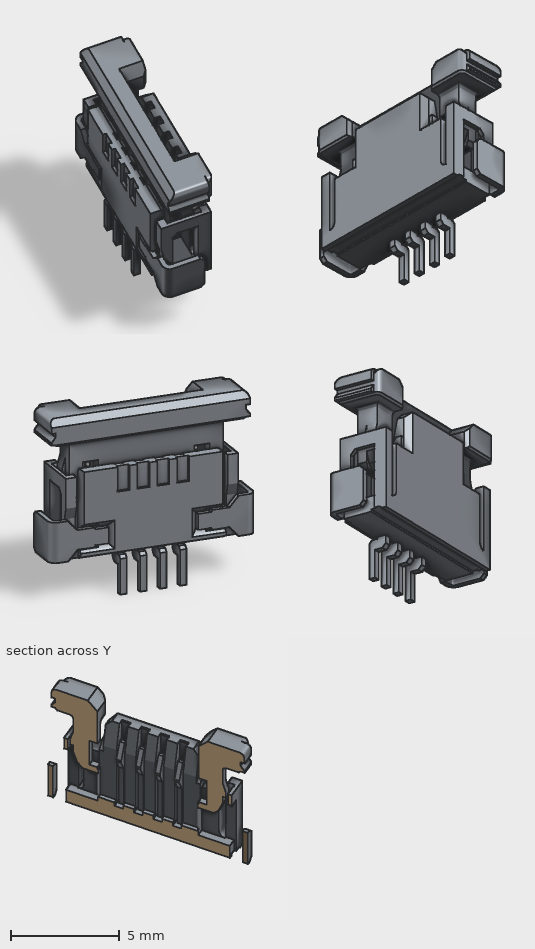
import cadquery as cq
import math

SIDES = (-1, 1)

total_width = 10.3
depth = 2.7
head_top = 6.89
tail_bottom = -2.01

contact_count = 4
pitch = 1.0
contact_width = 0.33
contact_slot_width = 0.43
contact_slot_floor = 0.82
contact_xs = [(i - (contact_count - 1) / 2) * pitch for i in range(contact_count)]

body_half = 3.48
body_top = 4.27
foot_half = 3.65
foot_top = 0.43
arm_inner = 3.79
arm_outer = 4.33
arm_top = 4.02
arm_front = 0.16
arm_lower_front = 0.31
arm_bevel_top = 2.54
window_back = 2.05
cavity_floor = 0.78
cavity_front = 0.74
cavity_back = 1.97
rear_wall_top = 3.5
arm_wall = 0.21
rear_foot_depth = 0.25
bottom_step = 0.11
wall_bevel = 0.21
wall_rear = 0.76
key_width = 0.61
key_bottom = 3.07
key_depth = 0.16

guide_half = 2.4
guide_top = 5.58
guide_bevel = 0.3
guide_front_top = 2.1
guide_front = 1.8
cable_slot_half = 2.54
cable_slot_floor = 1.03
shoulder_half = 2.6
shoulder_back = 2.39

slider_front = 0.82
slider_back = 1.91
plate_back = 1.41
plate_half = 3.86
post_bottom = 2.48
post_bevel_height = 0.28
post_bevel = 0.09
head_half = 4.99
head_front = 0.3
head_bottom = 5.58
head_base = 5.69
head_step = 2.31
head_back = 2.61
head_radius = 0.3
head_bevel = 0.33
groove_half = 4.78
neck_radius = 0.19
opening_half = 2.6
opening_top_half = 3.09
opening_bevel = 0.19
latch_half = 4.02
latch_front = 1.32
latch_bottom = 3.71

nail_thickness = 0.27
nail_height = 1.99
nail_back = 2.0
nail_corner = 0.21
nail_radius = 0.4
nail_tip = 2.24
nail_middle = nail_height / 2
nail_arm_half_height = 0.48
nail_tip_half_height = 0.39

recess_end = 1.94
recess_half_height = 0.7
recess_step = 2.71
recess_step_half_height = 0.56


def box(x0, x1, y0, y1, z0, z1):
    """Box between two corners, whichever order the limits come in."""
    size = (abs(x1 - x0), abs(y1 - y0), abs(z1 - z0))
    return cq.Workplane("XY").box(*size).translate(((x0 + x1) / 2, (y0 + y1) / 2, (z0 + z1) / 2))


def along_y(points, y0, y1):
    """Prism with an (x, z) outline, running from y0 to y1."""
    return cq.Workplane("XZ", origin=(0, y0, 0)).polyline(points).close().extrude(y0 - y1)


def along_x(points, x0, x1):
    """Prism with a (y, z) outline, running from x0 to x1."""
    return cq.Workplane("YZ", origin=(x0, 0, 0)).polyline(points).close().extrude(x1 - x0)


def along_z(points, z0, z1):
    """Prism with an (x, y) outline, running from z0 to z1."""
    return cq.Workplane("XY", origin=(0, 0, z0)).polyline(points).close().extrude(z1 - z0)


def side_arm(side):
    """Upright arm beside the body, hollowed for the slider post and open in a side window."""
    outline = [
        (arm_front, arm_top),
        (depth, arm_top),
        (depth, 0),
        (arm_lower_front, 0),
        (arm_lower_front, nail_height),
        (arm_front, arm_bevel_top),
    ]
    arm = along_x(outline, side * arm_inner, side * arm_outer)
    pocket_outer = arm_outer - arm_wall
    hollow_front = 0.58
    hollow = box(side * arm_inner, side * pocket_outer, hollow_front, window_back, cavity_floor, arm_top)
    arm = arm.cut(hollow)
    rear_lead = 0.25
    rear_bevel = [
        (window_back, arm_top),
        (window_back + rear_lead, arm_top),
        (window_back, arm_top - rear_lead),
    ]
    arm = arm.cut(along_x(rear_bevel, side * arm_inner, side * pocket_outer))
    window_top = 3.33
    window_bevel = 0.26
    window = box(side * pocket_outer, side * arm_outer, cavity_front, window_back, cavity_floor, window_top)
    window = window.edges("|X and <Y and >Z").chamfer(window_bevel)
    arm = arm.cut(window)
    relief_depth = 0.1
    relief_inner = arm_outer - relief_depth
    return arm.cut(box(side * relief_inner, side * arm_outer, arm_lower_front, window_back, 0, cavity_floor))


def arm_bridge(side):
    """Web that joins the arm to the body, rounded up into the body side."""
    radius = arm_inner - body_half
    bridge = box(side * body_half, side * arm_inner, arm_lower_front, depth, 0, cavity_floor + radius)
    round_cut = (
        cq.Workplane("XZ", origin=(side * arm_inner, 0, cavity_floor + radius)).circle(radius).extrude(-depth)
    )
    return bridge.cut(round_cut)


def guide_block():
    """Tall rear block with bevelled ends and a front that leans in to lead the cable."""
    lean_bottom = 4.17
    outline = [
        (depth, 0),
        (depth, guide_top),
        (guide_front_top, guide_top),
        (guide_front, lean_bottom),
        (guide_front, 0),
    ]
    block = along_x(outline, -guide_half, guide_half)
    for side in SIDES:
        end = side * guide_half
        inner = side * (guide_half - guide_bevel)
        rear_edge = [(end, depth), (inner, depth), (end, depth - guide_bevel)]
        block = block.cut(along_z(rear_edge, rear_wall_top, guide_top))
        top_edge = [(end, guide_top), (inner, guide_top), (end, guide_top - guide_bevel)]
        block = block.cut(along_y(top_edge, 0, depth))
    return block


def guide_shoulder():
    """Lower step at both ends of the guide block, with a leaning front."""
    lean_top_y = 2.09
    lean_bottom = 3.81
    outline = [
        (shoulder_back, 0),
        (shoulder_back, body_top),
        (lean_top_y, body_top),
        (guide_front, lean_bottom),
        (guide_front, 0),
    ]
    return along_x(outline, -shoulder_half, shoulder_half)


def rear_contact_slot(x):
    """Slot in the guide block that clears the contact spring, with a small bevel at the top."""
    slot_back = 2.34
    top_bevel = 0.05
    outline = [
        (plate_back, contact_slot_floor),
        (plate_back, guide_top),
        (slot_back + top_bevel, guide_top),
        (slot_back, guide_top - top_bevel),
        (slot_back, contact_slot_floor),
    ]
    return along_x(outline, x - contact_slot_width / 2, x + contact_slot_width / 2)


def front_contact_slot(x):
    """Notch for a contact at the top of the front wall, behind its outer face."""
    notch_front = 0.47
    left = x - contact_slot_width / 2
    right = x + contact_slot_width / 2
    return box(left, right, notch_front, slider_front, post_bottom + post_bevel_height, body_top)


def key_slot(x):
    """Slot in the outer face of the front wall, open at the top."""
    return box(x - key_width / 2, x + key_width / 2, 0, key_depth, key_bottom, body_top)


def post_cavity(side):
    """Space below the slider post, which lets the post travel down."""
    return box(side * opening_half, side * arm_inner, cavity_front, cavity_back, cavity_floor, body_top)


def underside_groove():
    """Shallow groove with a sloped rear flank across the underside, ahead of the rear foot."""
    groove_front = 1.8
    foot_front = depth - rear_foot_depth
    outline = [
        (groove_front, 0),
        (groove_front, bottom_step),
        (foot_front - bottom_step, bottom_step),
        (foot_front, 0),
    ]
    return along_x(outline, -arm_outer, arm_outer)


def front_relief():
    """Step along the lower front edge that clears the bends of the solder tails."""
    relief_depth = 0.25
    return box(-foot_half, foot_half, 0, relief_depth, 0, bottom_step)


def nail_recess(side):
    """Bevelled recess in the front face, wider where the broad part of the nail arm lies."""
    outer = side * foot_half

    def opening(end, half_height, y):
        corners = [(side * end, y, nail_middle - half_height), (outer, y, nail_middle - half_height)]
        corners += [(outer, y, nail_middle + half_height), (side * end, y, nail_middle + half_height)]
        return cq.Wire.makePolygon([cq.Vector(*c) for c in corners], close=True)

    mouth = opening(recess_end, recess_half_height, 0)
    floor = opening(nail_tip, nail_tip_half_height, nail_thickness)
    bevelled = cq.Workplane(cq.Solid.makeLoft([mouth, floor], True))
    broad_bottom = nail_middle - recess_step_half_height
    broad_top = nail_middle + recess_step_half_height
    return bevelled.union(box(side * recess_step, outer, 0, nail_thickness, broad_bottom, broad_top))


def make_housing():
    """Front wall, rear wall and guide block, flanked by the two side arms."""
    wall_outline = [
        (0, 0),
        (0, body_top),
        (wall_rear - wall_bevel, body_top),
        (wall_rear, body_top - wall_bevel),
        (slider_front, body_top - wall_bevel),
        (slider_front, 0),
    ]
    housing = along_x(wall_outline, -body_half, body_half)
    seat_top = post_bottom + post_bevel_height
    housing = housing.union(box(-body_half, body_half, slider_front, slider_back, 0, seat_top))
    housing = housing.union(box(-body_half, body_half, slider_back, depth, 0, rear_wall_top))
    housing = housing.union(box(-foot_half, foot_half, 0, depth, 0, foot_top))
    housing = housing.union(guide_shoulder()).union(guide_block())
    for side in SIDES:
        housing = housing.union(side_arm(side)).union(arm_bridge(side))
        housing = housing.cut(post_cavity(side)).cut(nail_recess(side))
    housing = housing.cut(underside_groove()).cut(front_relief())

    housing = housing.cut(
        box(-cable_slot_half, cable_slot_half, plate_back, guide_front, cable_slot_floor, guide_top)
    )
    for x in contact_xs:
        housing = housing.cut(rear_contact_slot(x)).cut(front_contact_slot(x)).cut(key_slot(x))
    return housing


def contact(x):
    """Stepped solder tail under the housing and the spring arm that presses on the cable."""
    left = x - contact_width / 2
    right = x + contact_width / 2
    tail_thickness = 0.31
    tail_back = 0.92
    elbow_bottom = -0.61
    elbow_top = -0.09
    elbow_bevel = 0.2
    tail_bevel = 0.15
    root_front = 0.42
    root_bevel = 0.06
    tail = [
        (tail_back, 0),
        (tail_back, elbow_bottom + elbow_bevel),
        (tail_back - elbow_bevel, elbow_bottom),
        (tail_thickness, elbow_bottom),
        (tail_thickness, tail_bottom),
        (0, tail_bottom),
        (0, elbow_top - tail_bevel),
        (tail_bevel, elbow_top),
        (root_front, elbow_top),
        (root_front + root_bevel, 0),
    ]
    spring_width = 0.25
    spring_back = 2.1
    spring_front = 1.85
    spring_tip_front = 1.95
    spring_top = 4.64
    crest_front = 1.58
    crest_height = 3.71
    crest_bottom = 3.09
    spring = [
        (spring_back, contact_slot_floor),
        (spring_back, spring_top),
        (spring_tip_front, spring_top),
        (crest_front, crest_height),
        (spring_front, crest_bottom),
        (spring_front, contact_slot_floor),
    ]
    return along_x(tail, left, right).union(along_x(spring, x - spring_width / 2, x + spring_width / 2))


def slider_head():
    """Grip bar with side grooves and two rear blocks beside the cable opening."""
    groove_top = 6.27
    groove_slope_top = 6.08
    groove_slope_bottom = 5.81
    arc_offset = head_radius * (1 - math.sqrt(0.5))
    shoulder = head_half - head_radius
    head = (
        cq.Workplane("XZ", origin=(0, head_front, 0))
        .moveTo(0, head_base)
        .lineTo(head_half, head_base)
        .lineTo(head_half, groove_slope_bottom)
        .lineTo(groove_half, groove_slope_top)
        .lineTo(groove_half, groove_top)
        .lineTo(head_half, groove_top)
        .lineTo(head_half, head_top - head_radius)
        .threePointArc((head_half - arc_offset, head_top - arc_offset), (shoulder, head_top))
        .lineTo(0, head_top)
        .close()
        .extrude(head_front - head_step)
    )
    head = head.union(head.mirror("YZ"))
    rear = box(-groove_half, groove_half, 0, head_back, head_base, head_top)
    rounded_corners = rear.edges(">Y and |Z").fillet(head_radius)
    rounded_top = rear.edges(">Z and |Y").fillet(head_radius)
    rear_strip = box(-groove_half, groove_half, head_step, head_back, head_base, head_top)
    head = head.union(rounded_corners.intersect(rounded_top).intersect(rear_strip))
    bevel = head_base - head_bottom
    base = box(-groove_half, groove_half, head_front, head_back, head_bottom, head_base + bevel)
    base = base.edges(">Y and |Z").fillet(head_radius).faces("<Z").edges().chamfer(bevel)
    head = head.union(base.cut(box(-head_half, head_half, 0, depth, head_base, head_top)))
    front_edge = [
        (head_front, head_top),
        (head_front + head_bevel, head_top),
        (head_front, head_top - head_bevel),
    ]
    return head.cut(along_x(front_edge, -head_half, head_half))


def slider_neck():
    """Plate between head and posts, spread by a fillet under the head."""
    plate = box(-plate_half, plate_half, slider_front, slider_back, post_bottom, head_bottom)
    plate = plate.faces("<Z").edges().chamfer(post_bevel_height, post_bevel)
    flange_height = 0.05
    spread = 2 * neck_radius
    flange = box(
        -plate_half - spread,
        plate_half + spread,
        slider_front - spread,
        slider_back + spread,
        head_bottom,
        head_bottom + flange_height,
    )
    neck = plate.union(flange)
    margin = 0.01
    corner = cq.selectors.BoxSelector(
        (-plate_half - margin, slider_front - margin, head_bottom - margin),
        (plate_half + margin, slider_back + margin, head_bottom + margin),
    )
    return neck.edges(corner).fillet(neck_radius)


def slider_latch(side):
    """Ramped latch on the outer face of a post."""
    latch_top = 4.58
    ramp_bottom = 4.08
    outline = [
        (plate_half, latch_top),
        (latch_half, ramp_bottom),
        (latch_half, latch_bottom),
        (plate_half, latch_bottom),
    ]
    return along_y([(side * x, z) for x, z in outline], latch_front, slider_back)


def latch_undercut(side):
    """Slope under the latch, running in further at the tip of the post."""
    bevel_half = 3.66
    tip_half = 3.4
    bevel_top = post_bottom + post_bevel_height
    outline = [(latch_half, latch_bottom), (bevel_half, bevel_top), (tip_half, post_bottom)]
    outline += [(latch_half, post_bottom)]
    return along_y([(side * x, z) for x, z in outline], latch_front, slider_back)


def cable_opening():
    """Opening between the rear blocks, flared at the top and bevelled at the back."""
    flare_bottom = head_top - (opening_top_half - opening_half)
    outline = [
        (-opening_half, 0),
        (-opening_half, flare_bottom),
        (-opening_top_half, head_top),
        (opening_top_half, head_top),
        (opening_half, flare_bottom),
        (opening_half, 0),
    ]
    opening = along_y(outline, plate_back, head_back)
    mouth = opening_half + opening_bevel
    bevel = [
        (-mouth, head_back),
        (mouth, head_back),
        (opening_half, head_back - opening_bevel),
        (-opening_half, head_back - opening_bevel),
    ]
    return opening.union(along_z(bevel, 0, head_top))


def post_window(side):
    """Window through a post, with a bevelled mouth at the front."""
    inner = 2.42
    bottom = 2.88
    bevel_depth = 0.18

    def outline(outer, top, y):
        corners = [(inner, y, bottom), (outer, y, bottom), (outer, y, top), (inner, y, top)]
        return cq.Wire.makePolygon([cq.Vector(side * x, *yz) for x, *yz in corners], close=True)

    front_outer = 3.18
    front_top = 4.45
    back_outer = 3.01
    back_top = 4.36
    front = outline(front_outer, front_top, slider_front)
    back = outline(back_outer, back_top, slider_front + bevel_depth)
    through = box(side * inner, side * back_outer, slider_front, slider_back, bottom, back_top)
    return through.union(cq.Workplane(cq.Solid.makeLoft([front, back], True)))


def make_slider():
    """Gripped head on a neck that splits into two latching posts."""
    slider = slider_head().union(slider_neck())
    slider = slider.cut(cable_opening())
    for side in SIDES:
        slider = slider.union(slider_latch(side)).cut(latch_undercut(side)).cut(post_window(side))
    return slider


def make_nail(side):
    """Bent strip: a side plate and a front plate with an arm that lies in the housing recess."""
    outer = total_width / 2
    shell = box(nail_tip, outer, 0, nail_back, 0, nail_height).edges("<Y and >X and |Z").fillet(nail_radius)
    inside = box(nail_tip, outer - nail_thickness, nail_thickness, nail_back, 0, nail_height)
    inside = inside.edges("<Y and >X and |Z").fillet(nail_radius - nail_thickness)
    nail = shell.cut(inside)
    nail = nail.edges(">Y and |X").chamfer(nail_corner)
    plate_end = 4.27
    arm_root = 3.81
    arm_step = 2.97
    step_bevel = 0.07
    upper = [(plate_end, nail_middle), (arm_root, nail_arm_half_height), (arm_step, nail_arm_half_height)]
    upper += [(arm_step - step_bevel, nail_tip_half_height), (nail_tip, nail_tip_half_height)]
    outline = [(outer, nail_height)] + [(x, nail_middle + h) for x, h in upper]
    outline += [(x, nail_middle - h) for x, h in reversed(upper)] + [(outer, 0)]
    nail = nail.intersect(along_y(outline, 0, nail_back))
    return nail if side > 0 else nail.mirror("YZ")


def make_connector():
    """Housing joined with its slider and contacts as one body."""
    connector = make_housing().union(make_slider())
    for x in contact_xs:
        connector = connector.union(contact(x))
    return connector


connector = make_connector()
nails = [make_nail(side) for side in SIDES]

result = cq.Compound.makeCompound(
    [connector.solids().val(), *[nail.solids().val() for nail in nails]]
)